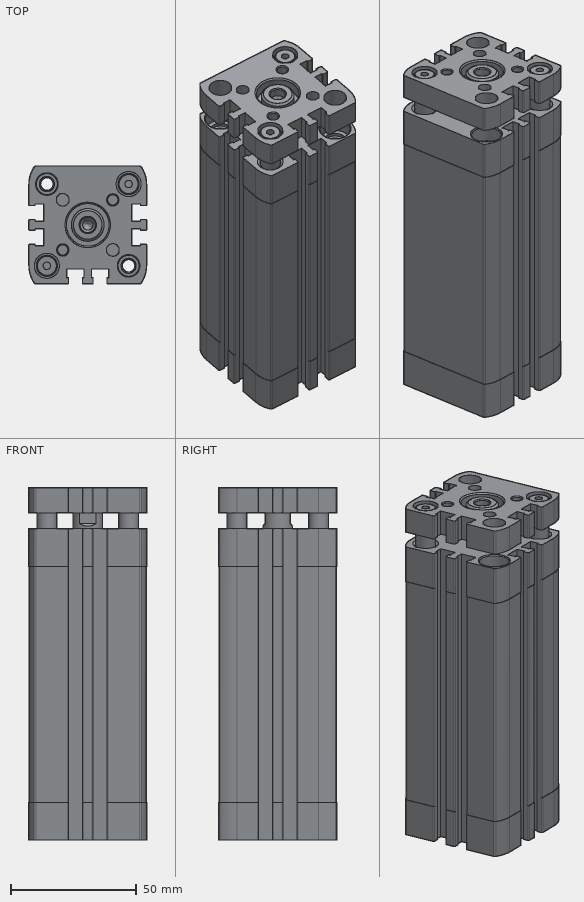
import cadquery as cq
import math

WIDTH = 47.0
TOTAL_HEIGHT = 140.5
PLATE_THICKNESS = 10.0
PLATE_GAP = 6.3
CAP_HEIGHT = 15.0
TUBE_INSET = 0.1

PLATE_BOTTOM = TOTAL_HEIGHT - PLATE_THICKNESS
HOUSING_TOP = PLATE_BOTTOM - PLATE_GAP
TOP_CAP_BOTTOM = HOUSING_TOP - CAP_HEIGHT

CORNER_RADIUS = 12.6
CORNER_START = 16.2
CORNER_BLEND = 1.0

SLOT_CENTRE = 4.9
SLOT_MOUTH = 5.5
SLOT_INNER_WIDTH = 6.7
SLOT_LIP = 2.5
SLOT_DEPTH = 5.9
SLOT_MOUTH_ROUND = 0.4

CORNER_OFFSET = 16.3
GUIDE_CORNERS = [(CORNER_OFFSET, CORNER_OFFSET), (-CORNER_OFFSET, -CORNER_OFFSET)]
SCREW_CORNERS = [(-CORNER_OFFSET, CORNER_OFFSET), (CORNER_OFFSET, -CORNER_OFFSET)]

GUIDE_DIAMETER = 8.0
GUIDE_SUNK = 0.7
GUIDE_RECESS_DIAMETER = 10.0
GUIDE_RECESS_DEPTH = 2.8
GUIDE_HEAD_DIAMETER = 8.5
GUIDE_HEAD_CHAMFER = 0.4
GUIDE_CENTRE_DIAMETER = 3.0
GUIDE_CENTRE_DEPTH = 2.8
GUIDE_SOCKET_CHAMFER = 1.1

SCREW_ACCESS_DIAMETER = 9.0
SCREW_RECESS_DIAMETER = 12.0
SCREW_RECESS_CHAMFER = 0.4
SCREW_RECESS_DEPTH = 6.3
SCREW_SEAT_DIAMETER = 8.5
SCREW_SEAT_DEPTH = 1.4
SCREW_BORE_DIAMETER = 4.9
SCREW_BORE_CHAMFER = 0.5

ROD_DIAMETER = 12.0
ROD_FLATS = 10.0
ROD_FLATS_CLEARANCE = 2.0
ROD_FLATS_BOTTOM = HOUSING_TOP + ROD_FLATS_CLEARANCE
ROD_HEAD_DIAMETER = 13.0
ROD_HEAD_CHAMFER = 0.8
ROD_SUNK = 0.5
ROD_RECESS_DIAMETER = 17.0
ROD_RECESS_DEPTH = 5.0
ROD_RECESS_CHAMFER = 0.5
ROD_BORE_DIAMETER = 6.0
ROD_BORE_CHAMFER = 0.4
ROD_BORE_DEPTH = 3.7
ROD_PILOT_DIAMETER = 4.1
ROD_PILOT_DEPTH = 5.6

HOLE_OFFSET = 10.0
PIN_HOLES = [(-HOLE_OFFSET, HOLE_OFFSET), (HOLE_OFFSET, -HOLE_OFFSET)]
TAPPED_HOLES = [(HOLE_OFFSET, HOLE_OFFSET), (-HOLE_OFFSET, -HOLE_OFFSET)]
PIN_HOLE_DIAMETER = 5.0
TAPPED_HOLE_DIAMETER = 4.1
TAPPED_HOLE_CHAMFER = 0.4


def cylinder(points, diameter, bottom, top):
    """Upright cylinders of one size at the given points."""
    base = cq.Workplane("XY", origin=(0, 0, bottom))
    return base.pushPoints(points).circle(diameter / 2).extrude(top - bottom)


def countersink(points, diameter, chamfer, face):
    """45-degree cones that widen a hole to a chamfered mouth at an upward face."""
    mouth = cq.Workplane("XY", origin=(0, 0, face)).pushPoints(points).circle(diameter / 2 + chamfer)
    return mouth.extrude(-chamfer, taper=45)


def rounded_block(width, bottom, top):
    """Square block with wide corner arcs tangent to the X sides, blended into the Y sides."""
    half = width / 2
    arc_centre = half - CORNER_RADIUS
    end_angle = math.asin((half - CORNER_START) / CORNER_RADIUS)
    end_x = arc_centre + CORNER_RADIUS * math.cos(end_angle)
    mid_x = arc_centre + CORNER_RADIUS * math.cos(end_angle / 2)
    mid_y = CORNER_START + CORNER_RADIUS * math.sin(end_angle / 2)
    outline = (
        cq.Workplane("XY", origin=(0, 0, bottom))
        .moveTo(half, -CORNER_START)
        .lineTo(half, CORNER_START)
        .threePointArc((mid_x, mid_y), (end_x, half))
        .lineTo(-end_x, half)
        .threePointArc((-mid_x, mid_y), (-half, CORNER_START))
        .lineTo(-half, -CORNER_START)
        .threePointArc((-mid_x, -mid_y), (-end_x, -half))
        .lineTo(end_x, -half)
        .threePointArc((mid_x, -mid_y), (half, -CORNER_START))
        .close()
    )
    block = outline.extrude(top - bottom)
    return block.edges("|Z and (>Y or <Y)").fillet(CORNER_BLEND)


def slot_pair(width, bottom, top):
    """Two T-slots cut up from the -Y side, one each side of the middle web."""
    side = -width / 2
    inner_edge = SLOT_CENTRE - SLOT_INNER_WIDTH / 2
    outer_edge = SLOT_CENTRE + SLOT_INNER_WIDTH / 2
    mouth_inner = SLOT_CENTRE - SLOT_MOUTH / 2
    mouth_outer = SLOT_CENTRE + SLOT_MOUTH / 2
    lip = -WIDTH / 2 + SLOT_LIP
    floor = -WIDTH / 2 + SLOT_DEPTH
    flare = SLOT_MOUTH_ROUND
    bend = flare * (1 - math.sqrt(0.5))
    slot = (
        cq.Workplane("XY", origin=(0, 0, bottom))
        .moveTo(mouth_inner - flare, side)
        .threePointArc((mouth_inner - bend, side + bend), (mouth_inner, side + flare))
        .lineTo(mouth_inner, lip)
        .lineTo(inner_edge, lip)
        .lineTo(inner_edge, floor)
        .lineTo(outer_edge, floor)
        .lineTo(outer_edge, lip)
        .lineTo(mouth_outer, lip)
        .lineTo(mouth_outer, side + flare)
        .threePointArc((mouth_outer + bend, side + bend), (mouth_outer + flare, side))
        .close()
        .extrude(top - bottom)
    )
    return slot.union(slot.mirror("YZ"))


def slotted_block(width, bottom, top):
    """Rounded block with slot pairs on the -X, -Y and +X sides."""
    block = rounded_block(width, bottom, top)
    pair = slot_pair(width, bottom, top)
    for angle in (-90, 0, 90):
        block = block.cut(pair.rotate((0, 0, 0), (0, 0, 1), angle))
    return block


def make_housing():
    """Slotted tube between two slightly wider end caps."""
    bottom_cap = slotted_block(WIDTH, 0, CAP_HEIGHT)
    tube = slotted_block(WIDTH - 2 * TUBE_INSET, CAP_HEIGHT, TOP_CAP_BOTTOM)
    top_cap = slotted_block(WIDTH, TOP_CAP_BOTTOM, HOUSING_TOP)
    housing = bottom_cap.union(tube).union(top_cap)

    housing = housing.cut(cylinder([(0, 0)], ROD_DIAMETER, TOP_CAP_BOTTOM, HOUSING_TOP))
    housing = housing.cut(cylinder(GUIDE_CORNERS, GUIDE_DIAMETER, TOP_CAP_BOTTOM, HOUSING_TOP))
    housing = housing.cut(countersink(GUIDE_CORNERS, GUIDE_DIAMETER, GUIDE_SOCKET_CHAMFER, HOUSING_TOP))

    recess_floor = HOUSING_TOP - SCREW_RECESS_DEPTH
    seat_floor = recess_floor - SCREW_SEAT_DEPTH
    housing = housing.cut(cylinder(SCREW_CORNERS, SCREW_RECESS_DIAMETER, recess_floor, HOUSING_TOP))
    housing = housing.cut(countersink(SCREW_CORNERS, SCREW_RECESS_DIAMETER, SCREW_RECESS_CHAMFER, HOUSING_TOP))
    housing = housing.cut(cylinder(SCREW_CORNERS, SCREW_SEAT_DIAMETER, seat_floor, recess_floor))
    housing = housing.cut(cylinder(SCREW_CORNERS, SCREW_BORE_DIAMETER, 0, seat_floor))
    return housing.cut(countersink(SCREW_CORNERS, SCREW_BORE_DIAMETER, SCREW_BORE_CHAMFER, seat_floor))


def make_plate():
    """Slotted front plate with its recesses and holes."""
    plate = slotted_block(WIDTH, PLATE_BOTTOM, TOTAL_HEIGHT)

    rod_floor = TOTAL_HEIGHT - ROD_RECESS_DEPTH
    plate = plate.cut(cylinder([(0, 0)], ROD_RECESS_DIAMETER, rod_floor, TOTAL_HEIGHT))
    plate = plate.cut(countersink([(0, 0)], ROD_RECESS_DIAMETER, ROD_RECESS_CHAMFER, TOTAL_HEIGHT))
    guide_floor = TOTAL_HEIGHT - GUIDE_RECESS_DEPTH
    plate = plate.cut(cylinder(GUIDE_CORNERS, GUIDE_RECESS_DIAMETER, guide_floor, TOTAL_HEIGHT))

    plate = plate.cut(cylinder(SCREW_CORNERS, SCREW_ACCESS_DIAMETER, PLATE_BOTTOM, TOTAL_HEIGHT))
    plate = plate.cut(cylinder(PIN_HOLES, PIN_HOLE_DIAMETER, PLATE_BOTTOM, TOTAL_HEIGHT))
    plate = plate.cut(cylinder(TAPPED_HOLES, TAPPED_HOLE_DIAMETER, PLATE_BOTTOM, TOTAL_HEIGHT))
    return plate.cut(countersink(TAPPED_HOLES, TAPPED_HOLE_DIAMETER, TAPPED_HOLE_CHAMFER, TOTAL_HEIGHT))


def make_piston_rod():
    """Piston rod with wrench flats that run out at 45 degrees, and a wider head."""
    rod_top = TOTAL_HEIGHT - ROD_SUNK
    rod = cylinder([(0, 0)], ROD_DIAMETER, TOP_CAP_BOTTOM, PLATE_BOTTOM)
    flat = ROD_FLATS / 2
    run_out = ROD_DIAMETER / 2 - flat
    cutter = (
        cq.Workplane("YZ", origin=(-ROD_DIAMETER / 2, 0, 0))
        .polyline([
            (flat, PLATE_BOTTOM),
            (flat, ROD_FLATS_BOTTOM),
            (flat + run_out, ROD_FLATS_BOTTOM - run_out),
            (flat + run_out, PLATE_BOTTOM),
        ])
        .close()
        .extrude(ROD_DIAMETER)
    )
    rod = rod.cut(cutter).cut(cutter.mirror("XZ"))
    head = cylinder([(0, 0)], ROD_HEAD_DIAMETER, PLATE_BOTTOM, rod_top)
    return rod.union(head.faces(">Z").chamfer(ROD_HEAD_CHAMFER))


def rod_bore():
    """Stepped blind bore in the rod head: countersink, bore, pilot and drill points."""
    rod_top = TOTAL_HEIGHT - ROD_SUNK
    bore_radius = ROD_BORE_DIAMETER / 2
    pilot_radius = ROD_PILOT_DIAMETER / 2
    bore_floor = rod_top - ROD_BORE_DEPTH
    pilot_floor = rod_top - ROD_PILOT_DEPTH
    profile = cq.Workplane("XZ").polyline([
        (0, rod_top),
        (bore_radius + ROD_BORE_CHAMFER, rod_top),
        (bore_radius, rod_top - ROD_BORE_CHAMFER),
        (bore_radius, bore_floor),
        (pilot_radius, bore_floor - (bore_radius - pilot_radius)),
        (pilot_radius, pilot_floor),
        (0, pilot_floor - pilot_radius),
    ])
    return profile.close().revolve(360, (0, 0, 0), (0, 1, 0))


def make_slide():
    """Front plate, piston rod and guide rods, which move as one piece."""
    guide_top = TOTAL_HEIGHT - GUIDE_SUNK
    guides = cylinder(GUIDE_CORNERS, GUIDE_DIAMETER, TOP_CAP_BOTTOM, PLATE_BOTTOM)
    heads = cylinder(GUIDE_CORNERS, GUIDE_HEAD_DIAMETER, PLATE_BOTTOM, guide_top)
    heads = heads.faces(">Z").chamfer(GUIDE_HEAD_CHAMFER)
    slide = make_plate().union(make_piston_rod()).union(guides).union(heads)
    centre_floor = guide_top - GUIDE_CENTRE_DEPTH
    slide = slide.cut(cylinder(GUIDE_CORNERS, GUIDE_CENTRE_DIAMETER, centre_floor, guide_top))
    return slide.cut(rod_bore())


housing = make_housing()
slide = make_slide()
result = cq.Compound.makeCompound([housing.solids().val(), slide.solids().val()])